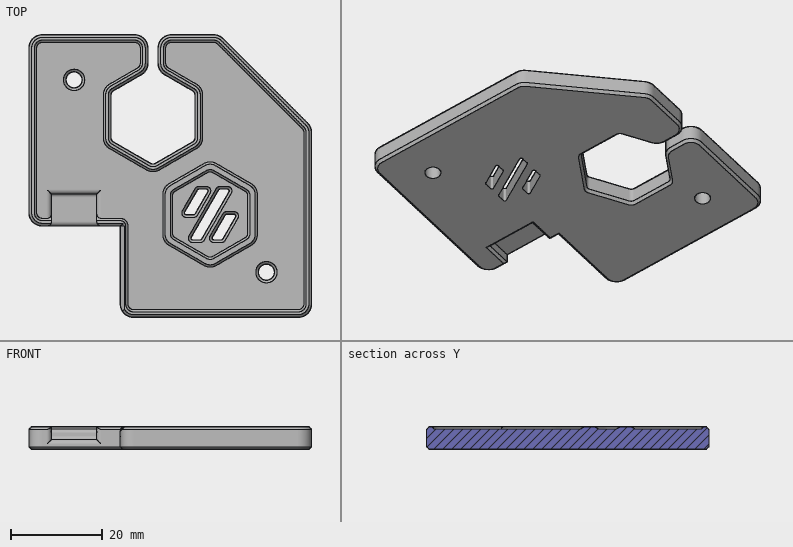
import cadquery as cq
import math

size = 62.0
thickness = 5.0
step = 20.0
bevel_leg = 20.3
corner_radius = 3.0
edge = 0.6
rim_flat = edge
recess_depth = 0.5
floor_z = thickness - recess_depth

opening_x = 27.2
opening_y = 44.1
opening_apothem = 9.2
opening_radius = 1.0
slit_width = 2.2

frame_x = 39.75
frame_y = 22.55
frame_apothem = 8.75
frame_width = 1.1
frame_radius = 1.6

slant = math.radians(60)
window_width = 2.5
long_window = 11.1
short_window = 5.6
window_shift_x = 3.05
window_radius = 0.4

hole_diameter = 3.5
hole_inset = 9.9

scoop_x = 9.9
scoop_width = 9.9
scoop_length = 7.0
scoop_floor = 2.2
scoop_round = 1.0
scoop_inner_round = 0.75

wide_bevel = 1.0
hollow_start = 5.9
hollow_width = 11.7
hollow_depth = 6.2
hollow_height = 2.85

reach = 0.6


def hexagon(center_x, center_y, apothem, radius, bottom, top):
    """Prism with two sides parallel to Y and rounded upright edges."""
    corner_distance = apothem / math.cos(math.pi / 6)
    corners = [
        (
            center_x + corner_distance * math.sin(i * math.pi / 3),
            center_y + corner_distance * math.cos(i * math.pi / 3),
        )
        for i in range(6)
    ]
    base = cq.Workplane("XY").workplane(offset=bottom)
    prism = base.polyline(corners).close().extrude(top - bottom)
    return prism.edges("|Z").fillet(radius)


def round_corner(solid, corner, radius):
    """Round the upright edge closest to a corner given in X and Y."""
    nearest = cq.NearestToPointSelector((*corner, thickness / 2))
    return solid.edges("|Z").edges(nearest).fillet(radius)


def make_blank():
    """Full-height plate with the opening and rounded corners, edges still sharp."""
    outer_corners = [
        (0, size),
        (0, step),
        (step, 0),
        (size, 0),
        (size, size - bevel_leg),
        (size - bevel_leg, size),
    ]
    points = outer_corners[:2] + [(step, step)] + outer_corners[2:]
    plate = cq.Workplane("XY").polyline(points).close().extrude(thickness)
    opening = hexagon(opening_x, opening_y, opening_apothem, opening_radius, 0, thickness)
    slit = (
        cq.Workplane("XY", origin=(opening_x, opening_y, 0))
        .rect(slit_width, size, centered=(True, False))
        .extrude(thickness)
    )
    plate = plate.cut(opening).cut(slit)
    mouth_y = opening_y + opening_apothem / math.cos(math.pi / 6) - slit_width / 2 * math.tan(math.pi / 6)
    slit_corners = [
        (opening_x + side * slit_width / 2, y) for side in (-1, 1) for y in (mouth_y, size)
    ]
    for corner in outer_corners + slit_corners:
        plate = round_corner(plate, corner, corner_radius)
    return plate


def cut_recess(plate, blank):
    """Sink the top face, leaving a sloped rim along the outline and the hexagonal frame."""
    inset = blank.faces(">Z").wires().val().offset2D(-(edge + rim_flat))
    recess = cq.Workplane("XY").newObject(inset).toPending().extrude(recess_depth + reach)
    recess = recess.translate((0, 0, -recess_depth))
    recess = recess.faces("<Z").edges().chamfer(recess_depth)
    frame = hexagon(
        frame_x,
        frame_y,
        frame_apothem + frame_width + recess_depth,
        frame_radius + frame_width,
        floor_z - reach,
        thickness,
    )
    frame = frame.faces(">Z").edges().chamfer(recess_depth)
    dish = hexagon(frame_x, frame_y, frame_apothem, frame_radius, floor_z, thickness + reach)
    dish = dish.faces("<Z").edges().chamfer(recess_depth)
    return plate.cut(recess.cut(frame)).cut(dish)


def window_prism(x, y, height, bottom, top, margin):
    """Slanted prism; margin widens it evenly on all sides."""
    full_height = height + 2 * margin
    full_width = window_width + 2 * margin / math.sin(slant)
    lean = full_height / math.tan(slant)
    points = [
        (x - (full_width + lean) / 2, y - full_height / 2),
        (x + (full_width - lean) / 2, y - full_height / 2),
        (x + (full_width + lean) / 2, y + full_height / 2),
        (x - (full_width - lean) / 2, y + full_height / 2),
    ]
    base = cq.Workplane("XY").workplane(offset=bottom)
    prism = base.polyline(points).close().extrude(top - bottom)
    return prism.edges("|Z").fillet(window_radius + margin)


def cut_windows(plate):
    """Long middle window with a short one on each side, all flared at the recessed face."""
    shift_y = (long_window - short_window) / 2
    for side, height in ((-1, short_window), (0, long_window), (1, short_window)):
        x = frame_x + side * window_shift_x
        y = frame_y - side * shift_y
        flare = window_prism(x, y, height, floor_z - edge, floor_z + reach, edge)
        flare = flare.faces("<Z").edges().chamfer(edge)
        shaft = window_prism(x, y, height, -reach, floor_z, 0)
        plate = plate.cut(shaft).cut(flare)
    return plate


def cut_screw_holes(plate):
    """Two through holes, countersunk at the recessed face."""
    for x, y in ((hole_inset, size - hole_inset), (size - hole_inset, hole_inset)):
        shaft = cq.Workplane("XY", origin=(x, y, 0)).circle(hole_diameter / 2).extrude(floor_z)
        flare_start = cq.Vector(x, y, floor_z - edge)
        flare = cq.Solid.makeCone(hole_diameter / 2, hole_diameter / 2 + edge, edge, pnt=flare_start)
        plate = plate.cut(shaft).cut(cq.Workplane(flare))
    return plate


def edges_within(solid, low, high):
    """Edges lying entirely between two opposite corners of a box."""
    slack = 0.03
    low = tuple(value - slack for value in low)
    high = tuple(value + slack for value in high)
    return solid.edges(cq.selectors.BoxSelector(low, high, boundingbox=True))


def cut_scoop(plate):
    """Scoop open to the step wall, rounded at its mouth, its upper edges and its back corner."""
    scoop = (
        cq.Workplane("XY", origin=(scoop_x, step - reach, scoop_floor))
        .rect(scoop_width, scoop_length + reach, centered=(True, False))
        .extrude(thickness)
    )
    plate = plate.cut(scoop.faces("<Z").edges(">Y").fillet(scoop_inner_round))
    left = scoop_x - scoop_width / 2
    right = scoop_x + scoop_width / 2
    mouth = edges_within(plate, (left, step, scoop_floor), (right, step, thickness))
    upper = edges_within(plate, (left, step, floor_z), (right, step + scoop_length, floor_z))
    return plate.newObject(mouth.vals() + upper.vals()).fillet(scoop_round)


def bevel_step_wall(plate):
    """Wide 45 degree bevel on the wall below the step."""
    wedge = (
        cq.Workplane("XZ", origin=(step, 0, thickness))
        .polyline([(-reach, -wide_bevel - reach), (-reach, reach), (wide_bevel + reach, reach)])
        .close()
        .extrude(-step)
    )
    return plate.cut(wedge)


def cut_hollow(plate):
    """Hollow open to the underside and to the wall below the step."""
    hollow = (
        cq.Workplane("XY", origin=(step - reach, hollow_start, -reach))
        .rect(hollow_depth + reach, hollow_width, centered=False)
        .extrude(hollow_height + reach)
    )
    return plate.cut(hollow)


blank = make_blank()
result = cut_hollow(blank).faces("<Z or >Z").edges().chamfer(edge)
result = cut_recess(result, blank)
result = cut_screw_holes(result)
result = cut_windows(result)
result = cut_scoop(result)
result = bevel_step_wall(result)